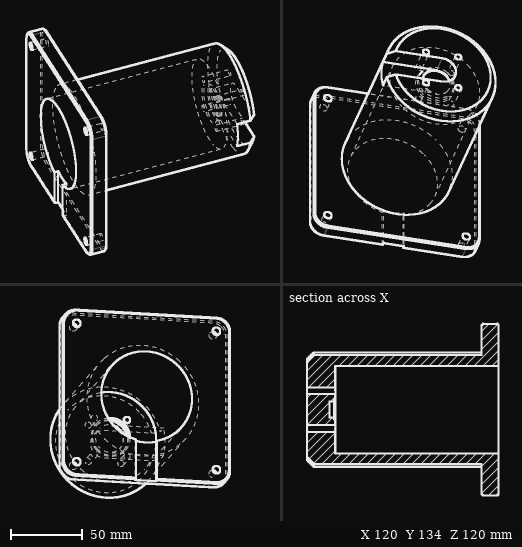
import cadquery as cq

length = 134.0

flange_side = 120.0
flange_thickness = 12.0
flange_corner_radius = 10.0
flange_chamfer = 1.0
mount_hole_pitch = 100.0
mount_hole_diameter = 5.4

tube_diameter = 80.0
bore_diameter = 65.0
floor_thickness = 20.0
end_chamfer = 5.0

shaft_hole_diameter = 20.0
seat_diameter = 25.7
seat_depth = 4.0
seat_chamfer = 1.0
floor_hole_diameter = 4.4
floor_hole_pitch_x = 23.3
floor_hole_pitch_z = 26.3

end_slot_width = shaft_hole_diameter
end_slot_depth = 15.0

channel_width = 15.0
channel_depth = 3.0

bore_depth = length - floor_thickness


def plane_at(y):
    """Plane facing +Y, with local x along X and local y along -Z."""
    return cq.Workplane("XZ", origin=(0, y, 0)).transformed(rotate=(180, 0, 0))


def cylinder(diameter, start, depth):
    """Cylinder on the housing axis, running toward +Y."""
    return plane_at(start).circle(diameter / 2).extrude(depth)


def make_flange():
    block = plane_at(0).rect(flange_side, flange_side).extrude(flange_thickness)
    block = block.edges("|Y").fillet(flange_corner_radius)
    return block.faces("<Y or >Y").chamfer(flange_chamfer)


def make_tube():
    return cylinder(tube_diameter, 0, length).faces(">Y").chamfer(end_chamfer)


def make_bore():
    bore = cylinder(bore_diameter, 0, bore_depth)
    shaft_hole = cylinder(shaft_hole_diameter, 0, length)
    seat = cylinder(seat_diameter, bore_depth, seat_depth)
    seat_entry = (
        plane_at(bore_depth)
        .circle(seat_diameter / 2 + seat_chamfer)
        .workplane(offset=seat_chamfer)
        .circle(seat_diameter / 2)
        .loft()
    )
    return bore.union(shaft_hole).union(seat).union(seat_entry)


def make_hole_pattern(pitch_x, pitch_z, diameter, depth):
    """Four holes at the corners of a rectangle, running from the flange face toward +Y."""
    corners = plane_at(0).rect(pitch_x, pitch_z, forConstruction=True).vertices()
    return corners.circle(diameter / 2).extrude(depth)


def make_end_slot():
    slot = cq.Workplane("XY").box(
        tube_diameter / 2, end_slot_depth, end_slot_width, centered=(False, False, True)
    )
    return slot.translate((0, length - end_slot_depth, 0))


def make_channel():
    channel = cq.Workplane("XY").box(
        channel_width, channel_depth, flange_side / 2, centered=(True, False, False)
    )
    return channel.translate((0, 0, -flange_side / 2))


mount_holes = make_hole_pattern(mount_hole_pitch, mount_hole_pitch, mount_hole_diameter, flange_thickness)
floor_holes = make_hole_pattern(floor_hole_pitch_x, floor_hole_pitch_z, floor_hole_diameter, length)

result = make_flange().union(make_tube())
for cutter in (make_bore(), mount_holes, floor_holes, make_end_slot(), make_channel()):
    result = result.cut(cutter)